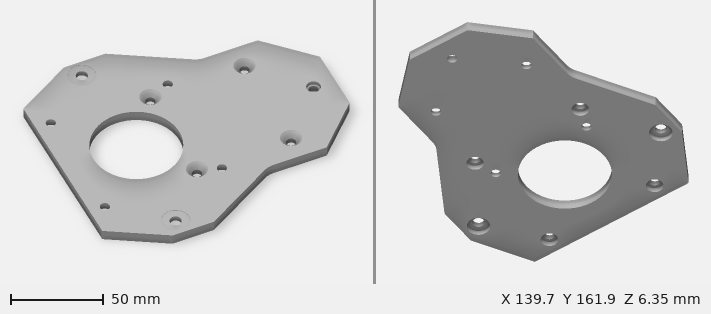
import cadquery as cq
import math

thickness = 6.35
height = 161.925
max_width = 139.7
neck_width = 88.9
bottom_width = 101.6
top_chamfer = 25.4
flank_angle = math.radians(60)
neck_corner_y = 101.6
neck_fillet = 12.0

motor_y = 43.75
motor_bore_diameter = 50.8
motor_bolt_spacing = 69.6
motor_bolt_diameter = 5.5
motor_bolt_recess_diameter = 9.5
motor_bolt_recess_depth = 3.2

screw_spacing_x = 60.0
screw_spacing_y = 56.0
screw_lower_y = 66.0
screw_diameter = 5.5
countersink_diameter = 12.0
countersink_angle = 90

side_hole_x = 60.325
side_hole_y = 39.23
side_hole_diameter = 6.6
spotface_diameter = 15.875
spotface_depth = 0.2
side_recess_diameter = 12.7
side_recess_depth = 3.0

top_hole_inset = 12.7
top_hole_diameter = 5.5
top_counterbore_diameter = 8.0
top_counterbore_depth = 2.2


def mirrored_pair(x, y):
    """Two points placed symmetrically about the Y axis."""
    return [(-x, y), (x, y)]


def plate():
    """Symmetric plate with a filleted transition from the wide base to the neck."""
    half_max = max_width / 2
    half_neck = neck_width / 2
    half_bottom = bottom_width / 2
    slope = math.tan(flank_angle)
    right_side = [
        (half_bottom, 0),
        (half_max, (half_max - half_bottom) * slope),
        (half_max, neck_corner_y - (half_max - half_neck) * slope),
        (half_neck, neck_corner_y),
        (half_neck, height - top_chamfer),
        (half_neck - top_chamfer, height),
    ]
    left_side = [(-x, y) for x, y in reversed(right_side)]
    body = cq.Workplane("XY").polyline(right_side + left_side).close().extrude(thickness)
    for x, y in mirrored_pair(half_neck, neck_corner_y):
        corner = cq.selectors.NearestToPointSelector((x, y, thickness / 2))
        body = body.edges("|Z").edges(corner).fillet(neck_fillet)
    return body


def on_top(body, points):
    """Points on the upper face, ready for drilling."""
    return body.faces(">Z").workplane(origin=(0, 0, thickness)).pushPoints(points)


def cut_lower_recesses(body, points, diameter, depth):
    """Round recesses entering from the lower face."""
    recesses = cq.Workplane("XY").pushPoints(points).circle(diameter / 2).extrude(depth)
    return body.cut(recesses)


def cut_motor_mount(body):
    body = on_top(body, [(0, motor_y)]).hole(motor_bore_diameter)
    half_spacing = motor_bolt_spacing / 2
    for y in (motor_y - half_spacing, motor_y + half_spacing):
        points = mirrored_pair(half_spacing, y)
        body = on_top(body, points).hole(motor_bolt_diameter)
        body = cut_lower_recesses(body, points, motor_bolt_recess_diameter, motor_bolt_recess_depth)
    return body


def cut_countersunk_holes(body):
    for y in (screw_lower_y, screw_lower_y + screw_spacing_y):
        points = mirrored_pair(screw_spacing_x / 2, y)
        body = on_top(body, points).cskHole(screw_diameter, countersink_diameter, countersink_angle)
    return body


def cut_side_holes(body):
    points = mirrored_pair(side_hole_x, side_hole_y)
    body = on_top(body, points).cboreHole(side_hole_diameter, spotface_diameter, spotface_depth)
    return cut_lower_recesses(body, points, side_recess_diameter, side_recess_depth)


def cut_top_hole(body):
    points = [(0, height - top_hole_inset)]
    return on_top(body, points).cboreHole(
        top_hole_diameter, top_counterbore_diameter, top_counterbore_depth
    )


result = plate()
result = cut_motor_mount(result)
result = cut_countersunk_holes(result)
result = cut_side_holes(result)
result = cut_top_hole(result)